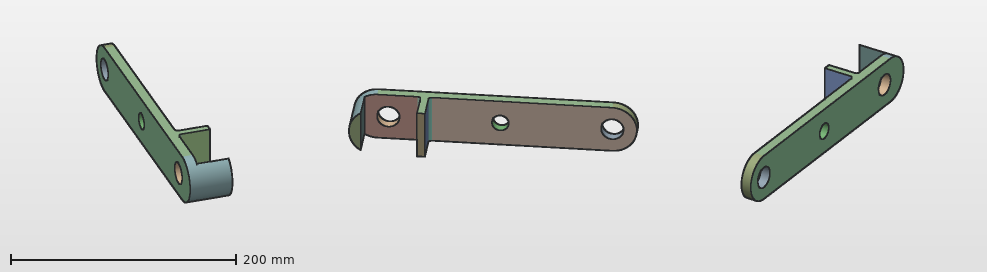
import cadquery as cq

length = 254.0
height = 44.0
depth = 40.0
plate_thickness = 10.0

end_hole_diameter = 20.0
middle_hole_diameter = 15.0
end_radius = height / 2
hole_spacing = 100.0

rib_left = 186.0
rib_thickness = 7.0
rib_fillet = 3.0
end_wall_thickness = 10.7


def rounded_bar(bar_depth):
    """Bar with semicircular ends, its front face on Y = 0 and its left end at X = 0."""
    return (
        cq.Workplane("XZ")
        .center(length / 2, 0)
        .slot2D(length, height)
        .extrude(-bar_depth)
    )


def full_height_block(left, width):
    """Block of full height and depth, starting at X = left."""
    return cq.Workplane("XY").box(width, depth, height, centered=(False, False, True)).translate((left, 0, 0))


def through_hole(x, diameter):
    return cq.Workplane("XZ").center(x, 0).circle(diameter / 2).extrude(-plate_thickness)


body = rounded_bar(plate_thickness).union(full_height_block(rib_left, rib_thickness))
rib_center = rib_left + rib_thickness / 2
rib_roots = cq.selectors.BoxSelector(
    (rib_center - rib_thickness, plate_thickness - rib_fillet, -height),
    (rib_center + rib_thickness, plate_thickness + rib_fillet, height),
)
body = body.edges("|Z").edges(rib_roots).fillet(rib_fillet)

end_wall = rounded_bar(depth).intersect(
    full_height_block(length - end_wall_thickness, end_wall_thickness)
)
body = body.union(end_wall)

hole_diameters = (end_hole_diameter, middle_hole_diameter, end_hole_diameter)
for index, diameter in enumerate(hole_diameters):
    body = body.cut(through_hole(end_radius + index * hole_spacing, diameter))

result = body